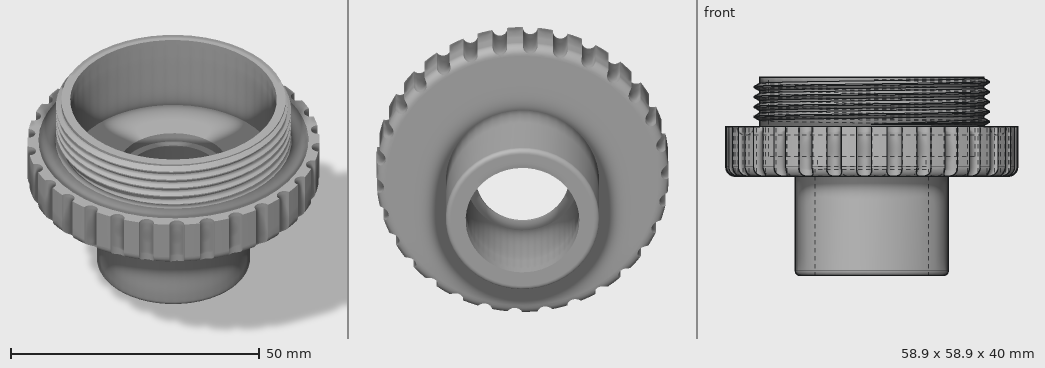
import cadquery as cq
import math

total_height = 40.0
tube_height = 19.95
flange_height = 10.0
flange_top = tube_height + flange_height
neck_height = total_height - flange_top

tube_radius = 30.9 / 2
flange_radius = 58.9 / 2
neck_radius = 45.25 / 2
tube_fillet = 1.0
flange_fillet = 2.0

cup_radius = 41.65 / 2
recess_radius = 21.9 / 2
lip_radius = 18.9 / 2
tube_bore_radius = 22.9 / 2
cup_floor_thickness = 4.0
recess_depth = 2.0
lip_thickness = 0.6
cup_floor = tube_height + cup_floor_thickness
lip_top = cup_floor - recess_depth
lip_bottom = lip_top - lip_thickness

groove_radius = 1.7
groove_center_radius = 25.5

flute_count = 30
flute_radius = 3.0 / 2
flute_start_angle = 3.0

thread_pitch = 2.0
thread_turns = 4
thread_depth = 5 / 8 * thread_pitch * math.sin(math.radians(60))
thread_root_width = 3 / 4 * thread_pitch
thread_crest_width = thread_pitch / 8
taper_turn = 0.25
taper_tip_scale = 0.02
helix_samples = 100
thread_start = flange_top + (neck_height - thread_turns * thread_pitch) / 2
thread_end = thread_start + thread_turns * thread_pitch


def cylinder(radius, bottom, top):
    """Solid cylinder on the Z axis between two heights."""
    return cq.Workplane("XY", origin=(0, 0, bottom)).circle(radius).extrude(top - bottom)


def make_outer_shape():
    """Tube, flange and neck before any material is removed."""
    tube = cylinder(tube_radius, 0, tube_height).faces("<Z").edges().fillet(tube_fillet)
    flange = cylinder(flange_radius, tube_height, flange_top).faces("<Z").edges().fillet(flange_fillet)
    neck = cylinder(neck_radius, flange_top, total_height)
    return tube.union(flange).union(neck)


def make_bore():
    """Stepped opening that runs through the housing."""
    tube_bore = cylinder(tube_bore_radius, 0, lip_bottom)
    lip_hole = cylinder(lip_radius, lip_bottom, lip_top)
    recess = cylinder(recess_radius, lip_top, cup_floor)
    cup = cylinder(cup_radius, cup_floor, total_height)
    return tube_bore.union(lip_hole).union(recess).union(cup)


def make_ring_groove():
    """Half-round ring sunk into the flange top."""
    return (
        cq.Workplane("XZ")
        .moveTo(groove_center_radius - groove_radius, flange_top)
        .threePointArc(
            (groove_center_radius, flange_top - groove_radius),
            (groove_center_radius + groove_radius, flange_top),
        )
        .close()
        .revolve(360, (0, 0, 0), (0, 1, 0))
    )


def make_flutes():
    """Vertical round-bottomed cutters centred on the flange rim."""
    return (
        cq.Workplane("XY", origin=(0, 0, tube_height))
        .polarArray(flange_radius, flute_start_angle, 360, flute_count)
        .circle(flute_radius)
        .extrude(flange_height)
    )


def make_housing():
    """Hollow stepped body with its grip flange."""
    return make_outer_shape().cut(make_bore()).cut(make_ring_groove()).cut(make_flutes())


def corner_helix(start_z, turns, depth, width_offset, tapers):
    """Path of one corner of the thread ridge, wound from +X; a taper shrinks the ridge towards its tip."""
    tip_scale = taper_tip_scale if tapers else 1
    tip_angle = math.acos(tip_scale)

    def point(t):
        angle = 2 * math.pi * turns * t
        radius = neck_radius + depth * math.cos(tip_angle * t)
        z = start_z + thread_pitch * turns * t + width_offset * (1 - (1 - tip_scale) * t)
        return (radius * math.cos(angle), radius * math.sin(angle), z)

    return cq.Workplane("XY").parametricCurve(point, N=helix_samples, makeWire=False).val()


def thread_section(start_z, turns, tapers):
    """Solid length of thread ridge that starts at +X; negative turns wind downwards."""
    section_corners = [
        (0, -thread_root_width / 2),
        (thread_depth, -thread_crest_width / 2),
        (thread_depth, thread_crest_width / 2),
        (0, thread_root_width / 2),
    ]
    helices = [corner_helix(start_z, turns, depth, offset, tapers) for depth, offset in section_corners]
    next_helices = helices[1:] + helices[:1]
    faces = [cq.Face.makeRuledSurface(a, b) for a, b in zip(helices, next_helices)]
    start_points = [helix.startPoint() for helix in helices]
    end_points = [helix.endPoint() for helix in helices]
    for outline in (start_points, end_points):
        faces.append(cq.Face.makeFromWires(cq.Wire.makePolygon(outline, close=True)))
    return cq.Solid.makeSolid(cq.Shell.makeShell(faces))


housing = make_housing()
thread_loops = [
    thread_section(thread_start + turn * thread_pitch, 1, tapers=False) for turn in range(thread_turns)
]
thread_tapers = [
    thread_section(thread_start, -taper_turn, tapers=True),
    thread_section(thread_end, taper_turn, tapers=True),
]

result = cq.Compound.makeCompound([housing.val(), *thread_loops, *thread_tapers])